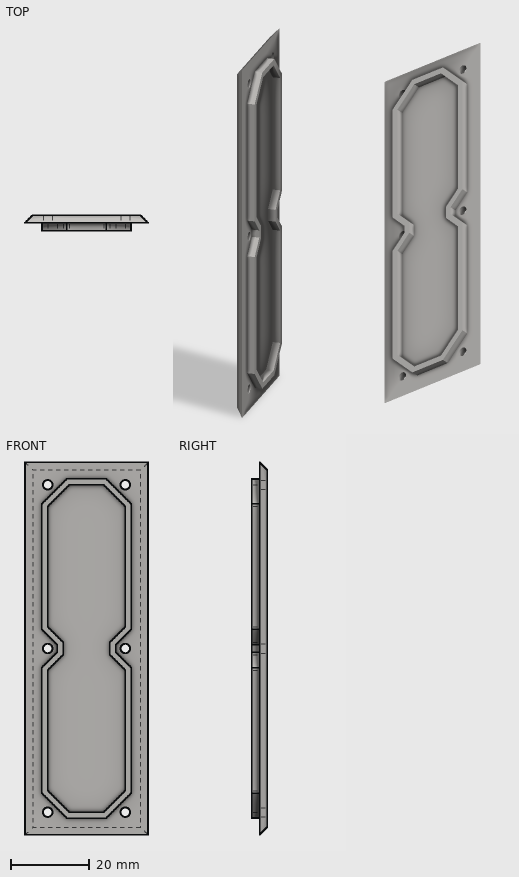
import cadquery as cq
import math

plate_width = 31.6
plate_height = 95.6
plate_thickness = 2.0
bevel_angle = 45.0

hole_diameter = 2.4
hole_x = 9.9
hole_z = 42.0

rim_height = 2.0
rim_wall = 1.5
hole_clearance = 2.4


def rim_outline(inset):
    """Closed XZ outline of the rim's outer wall, moved inwards by inset."""
    side_x = hole_x + rim_wall - inset
    end_z = hole_z + rim_wall - inset
    clearance = hole_clearance + inset

    diagonal_reach = clearance * math.sqrt(2)
    corner_sum = hole_x + hole_z - diagonal_reach
    waist_x = hole_x - clearance
    waist_z = waist_x - (hole_x - diagonal_reach)
    notch_z = side_x - (hole_x - diagonal_reach)

    quarter = [
        (waist_x, waist_z),
        (side_x, notch_z),
        (side_x, corner_sum - side_x),
        (corner_sum - end_z, end_z),
    ]
    upper = quarter + [(-x, z) for x, z in reversed(quarter)]
    lower = [(-x, -z) for x, z in upper]
    return upper + lower



plate = (
    cq.Workplane("XZ")
    .rect(plate_width, plate_height)
    .extrude(-plate_thickness, taper=bevel_angle)
)

rim_body = cq.Workplane("XZ").polyline(rim_outline(0)).close().extrude(rim_height)
rim_opening = cq.Workplane("XZ").polyline(rim_outline(rim_wall)).close().extrude(rim_height)
rim = rim_body.cut(rim_opening)

hole_centres = [(x, z) for x in (-hole_x, hole_x) for z in (-hole_z, 0, hole_z)]
holes = (
    cq.Workplane("XZ")
    .pushPoints(hole_centres)
    .circle(hole_diameter / 2)
    .extrude(-plate_thickness)
)

result = plate.union(rim).cut(holes)